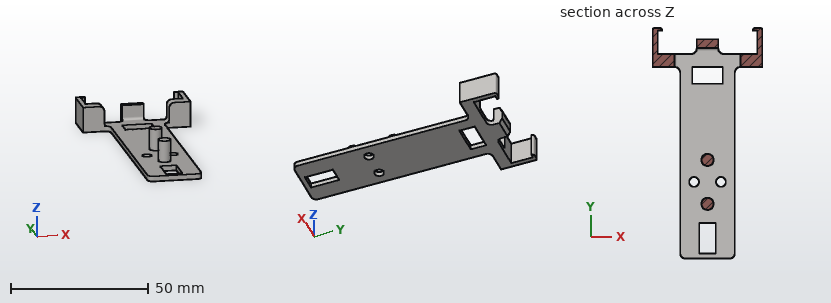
import cadquery as cq
import math

plate_width = 20.0
plate_thickness = 2.0
corner_radius = 2.0

overall_width = 40.0
overall_length = 84.1
arm_front_y = 69.8
arm_height = 9.5
block_width = 8.0
block_depth = 4.8
wall_thickness = 1.9
block_top_radius = 2.0
block_foot_radius = 1.0
lip_reach = 3.5
lip_thickness = 1.0
wall_corner_radius = 0.8
lip_tip_radius = 0.95

tab_width = 8.0
tab_height = 7.5
tab_offset = 2.1
tab_thickness = 3.3
tab_bevel_depth = 1.1
tab_bevel_height = tab_bevel_depth * math.tan(math.radians(60))
tab_foot_radius = 1.0

upper_window_width = 11.0
upper_window_length = 6.0
upper_window_center_y = arm_front_y - upper_window_length / 2
lower_window_width = 6.0
lower_window_length = 11.0
lower_window_start_y = 2.0
lower_window_center_y = lower_window_start_y + lower_window_length / 2

pattern_center_y = 28.0
pin_diameter = 4.5
pin_spacing = 16.0
pin_top_z = 10.0
hole_diameter = 3.5
hole_spacing = 9.8

half_width = overall_width / 2
block_inner_x = half_width - block_width
lip_tip_x = half_width - lip_reach
plate_back_y = arm_front_y + block_depth
tab_front_y = plate_back_y + tab_offset
tab_back_y = tab_front_y + tab_thickness


def box(x_min, x_max, y_min, y_max, height):
    """Box standing on Z = 0."""
    return cq.Workplane("XY").box(
        x_max - x_min, y_max - y_min, height, centered=False
    ).translate((x_min, y_min, 0))


def make_plate():
    """Plate, cross bar and tab root in one outline, with rounded corners."""
    stem = box(-plate_width / 2, plate_width / 2, 0, plate_back_y, plate_thickness)
    stem = stem.edges("|Z and <Y").fillet(corner_radius)
    bar = box(-block_inner_x, block_inner_x, arm_front_y, plate_back_y, plate_thickness)
    root = box(-tab_width / 2, tab_width / 2, plate_back_y, tab_front_y, plate_thickness)
    plate = stem.union(bar).union(root)
    for side in (-1, 1):
        plate = plate.union(inside_corner(side * plate_width / 2, arm_front_y, side, -1))
        plate = plate.union(inside_corner(side * tab_width / 2, plate_back_y, side, 1))
    return plate


def inside_corner(x, y, x_direction, y_direction):
    """Concave fillet filling the corner at (x, y) toward the given directions."""
    x_far = x + x_direction * corner_radius
    y_far = y + y_direction * corner_radius
    square = box(min(x, x_far), max(x, x_far), min(y, y_far), max(y, y_far), plate_thickness)
    cylinder = cq.Workplane("XY").center(x_far, y_far).circle(corner_radius).extrude(plate_thickness)
    return square.cut(cylinder)


def make_tab():
    """Upright tab with both rear edges bevelled and a rounded foot at the front."""
    foot_y = tab_front_y - tab_foot_radius
    foot_z = plate_thickness + tab_foot_radius
    bevel_y = tab_back_y - tab_bevel_depth
    profile = (
        cq.Workplane("YZ", origin=(-tab_width / 2, 0, 0))
        .moveTo(foot_y, 0)
        .lineTo(bevel_y, 0)
        .lineTo(tab_back_y, tab_bevel_height)
        .lineTo(tab_back_y, tab_height - tab_bevel_height)
        .lineTo(bevel_y, tab_height)
        .lineTo(tab_front_y, tab_height)
        .lineTo(tab_front_y, foot_z)
        .radiusArc((foot_y, plate_thickness), tab_foot_radius)
        .close()
    )
    return profile.extrude(tab_width)


def make_right_arm():
    """Corner block with a wall running back to a hooked lip."""
    block = box(block_inner_x, half_width, arm_front_y, plate_back_y, arm_height)
    block = block.edges("|Y and <X and >Z").fillet(block_top_radius)
    wall = box(half_width - wall_thickness, half_width, arm_front_y, overall_length, arm_height)
    lip = box(lip_tip_x, half_width, overall_length - lip_thickness, overall_length, arm_height)
    hook = wall.union(lip)
    middle_z = arm_height / 2
    outer_edge = cq.selectors.NearestToPointSelector((half_width, overall_length, middle_z))
    hook = hook.edges(outer_edge).fillet(wall_corner_radius)
    tip_edge = cq.selectors.NearestToPointSelector((lip_tip_x, overall_length, middle_z))
    hook = hook.edges(tip_edge).fillet(lip_tip_radius)
    foot = (
        cq.Workplane("XZ", origin=(0, plate_back_y, 0))
        .moveTo(block_inner_x, plate_thickness)
        .lineTo(block_inner_x, plate_thickness + block_foot_radius)
        .radiusArc((block_inner_x - block_foot_radius, plate_thickness), block_foot_radius)
        .close()
        .extrude(block_depth)
    )
    return block.union(hook).union(foot)


def make_pins():
    """Two pins standing on the plate's centreline."""
    return (
        cq.Workplane("XY")
        .center(0, pattern_center_y)
        .rarray(1, pin_spacing, 1, 2)
        .circle(pin_diameter / 2)
        .extrude(pin_top_z)
    )


def make_openings():
    """Two windows and two round holes, all through the plate."""
    upper_window = (
        cq.Workplane("XY")
        .center(0, upper_window_center_y)
        .rect(upper_window_width, upper_window_length)
        .extrude(plate_thickness)
    )
    lower_window = (
        cq.Workplane("XY")
        .center(0, lower_window_center_y)
        .rect(lower_window_width, lower_window_length)
        .extrude(plate_thickness)
    )
    holes = (
        cq.Workplane("XY")
        .center(0, pattern_center_y)
        .rarray(hole_spacing, 1, 2, 1)
        .circle(hole_diameter / 2)
        .extrude(plate_thickness)
    )
    return upper_window.union(lower_window).union(holes)


right_arm = make_right_arm()
left_arm = right_arm.mirror("YZ")
result = make_plate().union(make_tab()).union(right_arm).union(left_arm)
result = result.union(make_pins()).cut(make_openings())